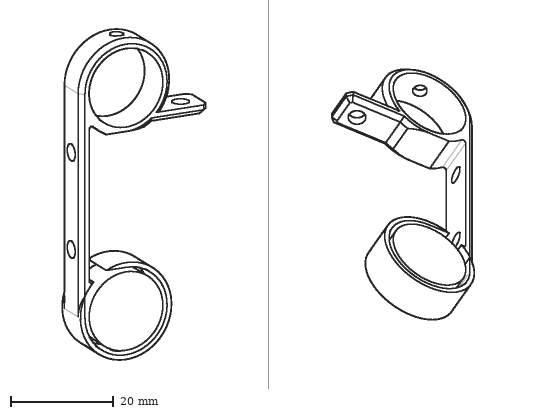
import cadquery as cq

HEIGHT = 66.0
WIDTH = 8.0
RING_DIAMETER = 20.0
BORE_DIAMETER = 16.2
TAB_REACH = 18.0

CHAMFER = 1.0
STRAP_THICKNESS = 2 * CHAMFER
BLEND_RADIUS = 0.5

SCREW_DIAMETER = 3.4
PIN_DIAMETER = 2.8
STRAP_HOLE_SPACING = RING_DIAMETER
TAB_HOLE_Y = 14.0

RING_RADIUS = RING_DIAMETER / 2
RIM_RADIUS = RING_RADIUS - CHAMFER
UPPER_Z = HEIGHT - RING_RADIUS
LOWER_Z = RING_RADIUS
STRAP_OUTER_Y = -RING_RADIUS
STRAP_INNER_Y = STRAP_OUTER_Y + STRAP_THICKNESS
TAB_BOTTOM_Z = UPPER_Z - (RING_RADIUS - STRAP_THICKNESS)
FLAT_BOTTOM_Z = UPPER_Z - RIM_RADIUS


def block(y_min, y_max, z_min, z_max):
    """Full-width box, centred on X = 0."""
    size_y = y_max - y_min
    size_z = z_max - z_min
    box = cq.Workplane("XY").box(WIDTH, size_y, size_z)
    return box.translate((0, (y_min + y_max) / 2, (z_min + z_max) / 2))


def disc(radius, axis_z):
    """Full-width cylinder along X."""
    return cq.Workplane("YZ").center(0, axis_z).circle(radius).extrude(WIDTH / 2, both=True)


def vertical_cylinder(diameter, y, z_min, z_max):
    return cq.Workplane("XY", origin=(0, y, z_min)).circle(diameter / 2).extrude(z_max - z_min)


def blend(axis_z, direction):
    """Concave fillet between a ring and the strap; direction is +1 above the axis, -1 below."""
    blend_y = STRAP_INNER_Y + BLEND_RADIUS
    blend_distance = RING_RADIUS + BLEND_RADIUS
    blend_z = axis_z + direction * (blend_distance**2 - blend_y**2) ** 0.5
    tangent_y = blend_y * RING_RADIUS / blend_distance
    z_limits = sorted((axis_z, blend_z))
    web = block(STRAP_INNER_Y, tangent_y, *z_limits)
    return web.cut(disc(BLEND_RADIUS, blend_z).translate((0, blend_y, 0)))


def make_strap():
    strap = block(STRAP_OUTER_Y, STRAP_INNER_Y, LOWER_Z, UPPER_Z)
    strap = strap.faces("<Y").edges("|Z").chamfer(CHAMFER)
    return strap.union(blend(LOWER_Z, 1)).union(blend(UPPER_Z, -1))


def make_tab():
    """Flat tab with cut corners and a bevelled underside."""
    tab = block(0, TAB_REACH, TAB_BOTTOM_Z, TAB_BOTTOM_Z + STRAP_THICKNESS)
    tab = tab.faces(">Y").edges("|Z").chamfer(CHAMFER)
    return tab.faces("<Z").edges("not <Y").chamfer(CHAMFER)


def make_upper_body():
    """Bevelled ring, square-edged where it runs into the strap, with a flat underside."""
    ring = disc(RING_RADIUS, UPPER_Z).edges().chamfer(CHAMFER)
    square_quarter = disc(RING_RADIUS, UPPER_Z).intersect(block(-RIM_RADIUS, 0, 0, UPPER_Z))
    ring = ring.union(square_quarter)
    return ring.intersect(block(-RING_RADIUS, RING_RADIUS, FLAT_BOTTOM_Z, HEIGHT))


def make_lower_ring():
    """Thin ring with a square opening in the quarter facing the strap."""
    ring = disc(RING_RADIUS, LOWER_Z).cut(disc(RIM_RADIUS, LOWER_Z))
    return ring.cut(block(-RIM_RADIUS, 0, LOWER_Z, LOWER_Z + RIM_RADIUS))


body = make_strap().union(make_upper_body()).union(make_tab())
body = body.cut(disc(BORE_DIAMETER / 2, UPPER_Z))
body = body.cut(disc(RING_RADIUS, LOWER_Z))

core = disc(BORE_DIAMETER / 2, LOWER_Z)
pin = vertical_cylinder(PIN_DIAMETER, 0, CHAMFER / 2, LOWER_Z)
result = body.union(make_lower_ring()).union(core).union(pin)

result = result.cut(vertical_cylinder(PIN_DIAMETER, 0, UPPER_Z, HEIGHT))
result = result.cut(vertical_cylinder(SCREW_DIAMETER, TAB_HOLE_Y, TAB_BOTTOM_Z, UPPER_Z))

for side in (-1, 1):
    hole_z = HEIGHT / 2 + side * STRAP_HOLE_SPACING / 2
    hole = cq.Workplane("XZ", origin=(0, STRAP_INNER_Y, hole_z))
    result = result.cut(hole.circle(SCREW_DIAMETER / 2).extrude(STRAP_THICKNESS))